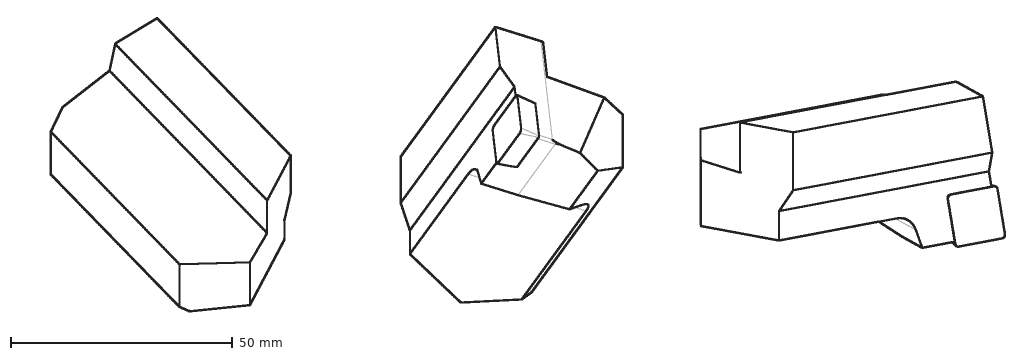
import cadquery as cq
import math

length = 69.2
width = 34.7
height = 36.0

nose_lean = math.tan(math.radians(10))
nose_top_x = 7.5
nose_radius = 0.55
head_bottom_z = 1.25
head_heel_x = 21.5
heel_angle = 70.0
shank_bottom_z = 9.5
throat_radius = 5.5

ledge_front_z = 27.2
ledge_angle = 8.0
rib_front_y = 22.7
front_bottom_z = 11.5
bevel_end_y = 9.3
bevel_end_z = 2.15
belly_end_y = 22.35
back_recess_y = 31.55
back_recess_z = 16.5
back_slope_top_z = 22.15

end_tip_y = 13.9
end_slope = math.tan(math.radians(30))
front_left_x = 13.3
front_left_slope = 2 / 3
nose_facet_y = 23.3
nose_facet_slope = 0.18

insert_side = 13.0
insert_angle = 80.0
insert_back_y = 31.8
insert_thickness = 4.8
insert_relief = 7.0
insert_corner = 0.8


def nose_x(z):
    """X of the leaning nose face at height z."""
    return nose_top_x - (height - z) * nose_lean


def make_side_profile():
    """Prism along Y: leaning nose, flat head bottom, heel and rounded throat."""
    throat_x = head_heel_x + (shank_bottom_z - head_bottom_z) / math.tan(math.radians(heel_angle))
    prism = (
        cq.Workplane("XZ")
        .polyline([
            (nose_x(head_bottom_z), head_bottom_z),
            (head_heel_x, head_bottom_z),
            (throat_x, shank_bottom_z),
            (length, shank_bottom_z),
            (length, height),
            (nose_top_x, height),
        ])
        .close()
        .extrude(-width)
    )
    middle_y = width / 2
    prism = prism.edges(
        cq.selectors.NearestToPointSelector((throat_x, middle_y, shank_bottom_z))
    ).fillet(throat_radius)
    return prism.edges(
        cq.selectors.NearestToPointSelector((nose_x(head_bottom_z), middle_y, head_bottom_z))
    ).fillet(nose_radius)


def make_cross_section():
    """Prism along X: tall rib, sloping ledge, bevelled belly and recessed back."""
    ledge_rib_z = ledge_front_z - rib_front_y * math.tan(math.radians(ledge_angle))
    return (
        cq.Workplane("YZ")
        .polyline([
            (0, front_bottom_z),
            (bevel_end_y, bevel_end_z),
            (belly_end_y, head_bottom_z),
            (back_recess_y, head_bottom_z),
            (back_recess_y, back_recess_z),
            (width, back_slope_top_z),
            (width, height),
            (rib_front_y, height),
            (rib_front_y, ledge_rib_z),
            (0, ledge_front_z),
        ])
        .close()
        .extrude(length)
    )


def make_plan_outline():
    """Prism along Z: two sloping end faces and the front left bevel."""
    return (
        cq.Workplane("XY")
        .polyline([
            (front_left_x, 0),
            (length - end_tip_y * end_slope, 0),
            (length, end_tip_y),
            (length - (width - end_tip_y) * end_slope, width),
            (0, width),
            (0, front_left_x / front_left_slope),
        ])
        .close()
        .extrude(height)
    )


def make_nose_facet_cutter():
    """Wedge in front of the nose facet, sheared along the leaning nose face."""
    facet_run = nose_facet_y * nose_facet_slope

    def section(z):
        x = nose_x(z)
        points = [
            (x, nose_facet_y, z),
            (x + facet_run, 0, z),
            (x - length, 0, z),
            (x - length, nose_facet_y, z),
        ]
        return cq.Wire.makePolygon([cq.Vector(*point) for point in points], close=True)

    return cq.Workplane(cq.Solid.makeLoft([section(0), section(height)], True))


def make_insert():
    """Rhombic insert with rounded corners and relieved edges."""
    angle = math.radians(insert_angle)
    corner_setback = insert_corner * (1 / math.tan(angle / 2) - 1)
    lean_x = insert_side * math.cos(angle)
    top_z = insert_side * math.sin(angle)
    outline = (
        cq.Sketch()
        .polygon([
            (-corner_setback, 0),
            (insert_side - corner_setback, 0),
            (insert_side - corner_setback + lean_x, top_z),
            (lean_x - corner_setback, top_z),
            (-corner_setback, 0),
        ])
        .vertices()
        .fillet(insert_corner)
    )
    return (
        cq.Workplane("XZ", origin=(0, insert_back_y, 0))
        .placeSketch(outline)
        .extrude(insert_thickness, taper=insert_relief)
    )


insert = make_insert()
holder = (
    make_side_profile()
    .intersect(make_cross_section())
    .intersect(make_plan_outline())
    .cut(make_nose_facet_cutter())
    .cut(insert)
)

result = cq.Compound.makeCompound([holder.solids().val(), insert.val()])